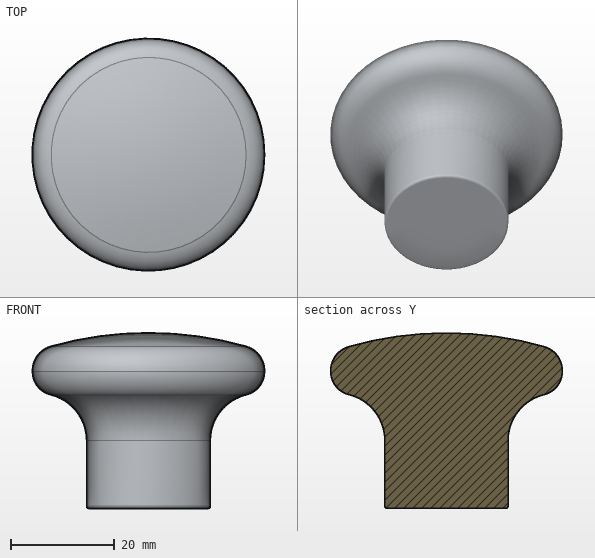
import cadquery as cq
import math

head_diameter = 45.0
total_height = 34.0
stem_diameter = 24.0
stem_height = 13.25
foot_fillet = 0.5
upper_rim_radius = 5.0
lower_rim_radius = 4.72
rim_height = 26.6

head_radius = head_diameter / 2
stem_radius = stem_diameter / 2
upper_rim_center_r = head_radius - upper_rim_radius
lower_rim_center_r = head_radius - lower_rim_radius

rim_offset = lower_rim_center_r - stem_radius
rim_rise = rim_height - stem_height
neck_reach = head_radius - stem_radius
neck_radius = (rim_offset**2 + rim_rise**2 - lower_rim_radius**2) / (2 * neck_reach)
neck_center_r = stem_radius + neck_radius

apex_rise = total_height - rim_height
apex_over_rim = apex_rise - upper_rim_radius
dome_radius = (upper_rim_center_r**2 + apex_rise**2 - upper_rim_radius**2) / (2 * apex_over_rim)
dome_center_z = total_height - dome_radius


def point_on_circle(center_r, center_z, radius, angle):
    """Profile point (r, z) at an angle measured from the outward direction."""
    return (center_r + radius * math.cos(angle), center_z + radius * math.sin(angle))


dome_angle = math.atan2(rim_height - dome_center_z, upper_rim_center_r)
rim_to_neck = math.atan2(stem_height - rim_height, neck_center_r - lower_rim_center_r)
neck_to_rim = rim_to_neck + math.pi

neck_mid = point_on_circle(neck_center_r, stem_height, neck_radius, (math.pi + neck_to_rim) / 2)
neck_end = point_on_circle(lower_rim_center_r, rim_height, lower_rim_radius, rim_to_neck)
lower_rim_mid = point_on_circle(lower_rim_center_r, rim_height, lower_rim_radius, rim_to_neck / 2)
upper_rim_mid = point_on_circle(upper_rim_center_r, rim_height, upper_rim_radius, dome_angle / 2)
rim_end = point_on_circle(upper_rim_center_r, rim_height, upper_rim_radius, dome_angle)
dome_mid = point_on_circle(0, dome_center_z, dome_radius, (dome_angle + math.pi / 2) / 2)

profile = (
    cq.Workplane("XZ")
    .lineTo(stem_radius, 0)
    .lineTo(stem_radius, stem_height)
    .threePointArc(neck_mid, neck_end)
    .threePointArc(lower_rim_mid, (head_radius, rim_height))
    .threePointArc(upper_rim_mid, rim_end)
    .threePointArc(dome_mid, (0, total_height))
    .close()
)
knob = profile.revolve(360, (0, 0, 0), (0, 1, 0))

result = knob.faces("<Z").edges().fillet(foot_fillet)